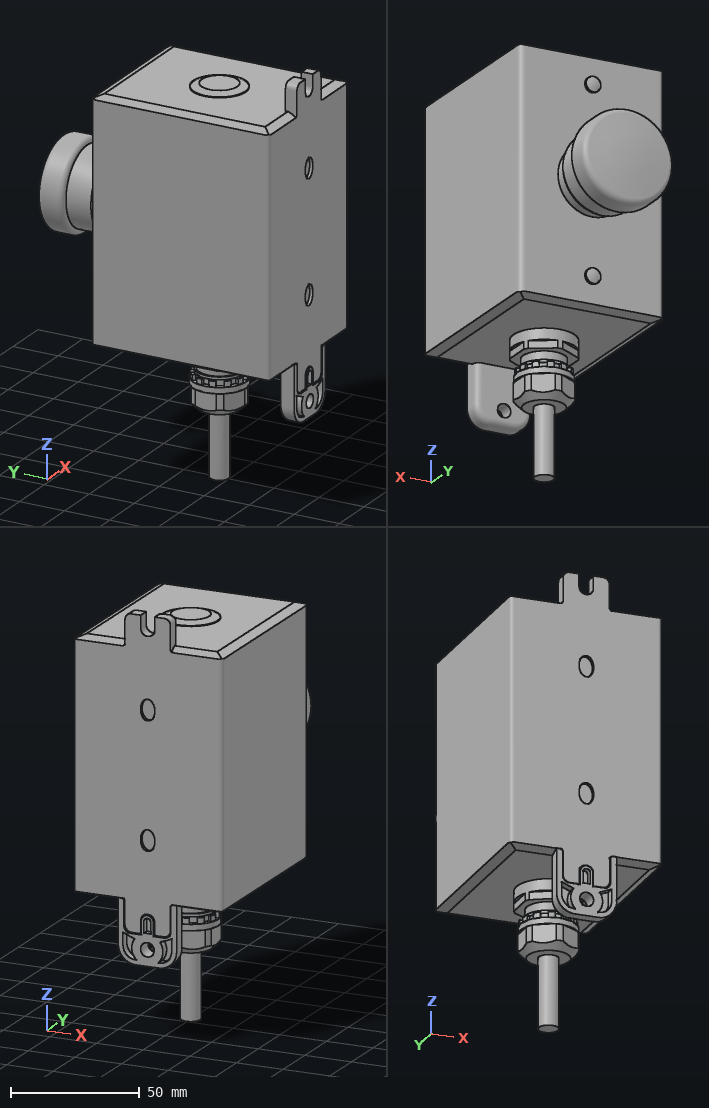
import cadquery as cq
import math


box_width = 64.0
box_depth = 79.5
box_height = 106.0
bevel_inset = 4.0
bevel_drop = 1.5
front_edge_radius = 2.0
rear_edge_radius = 2.6
mid_y = box_depth / 2
mid_z = box_height / 2

tab_width = 19.5
tab_length = 12.0
tab_thickness = 5.1
tab_corner_radius = 2.6
tab_root_radius = 1.2
tab_slot_width = 6.0
tab_slot_depth = 8.2
pocket_width = 6.1
pocket_length = 8.8
pocket_depth = 1.4
pocket_spacing = 53.2

bracket_width = 25.1
bracket_bottom = -25.0
bracket_front = -0.4
bracket_thickness = 7.2
bracket_corner_radius = 7.5
bracket_rear_fillet = 2.8
tab_clearance = 0.4
bracket_hole_diameter = 5.8
bracket_hole_z = -18.0
tongue_groove_width = 3.0
tongue_groove_top = -5.3
tongue_groove_bottom = -11.4
tongue_groove_depth = 2.6
relief_rim = 2.1
relief_boss_radius = 6.7
relief_top_outer = -12.3
relief_top_inner = -14.4
relief_inner_x = 5.3
relief_depth = 3.5

cap_diameter = 23.2
cap_top_diameter = 15.8
cap_rim_height = 0.4
cap_height = 1.5

screw_diameter = 6.5
screw_rim_height = 1.0
screw_height = 1.8
screw_spacing = 79.8

stem_radius = 15.1
collar_radius = 17.2
collar_start = 86.7
collar_chamfer = 0.7
head_radius = 20.0
head_start = 98.5
head_lower_round = 2.1
head_edge_y = 107.0
head_shoulder_radius = 17.2
head_shoulder_y = 110.0
head_top_y = 111.6

base_diameter = 26.8
base_bottom = -4.7
base_hex_flats = 24.2
base_hex_bottom = -7.9
neck_diameter = 18.3
neck_bottom = -11.8
flare_diameter = 19.8
flare_bottom = -13.0
crown_diameter = 23.0
crown_bottom = -15.5
crown_notches = 12
crown_notch_width = 3.2
crown_notch_depth = 1.8
ring_diameter = 23.7
ring_bottom = -18.0
nut_diameter = 24.0
nut_flats = 22.1
nut_cone_top = -25.0
nut_bottom = -28.0
nut_end_diameter = 17.4
cable_diameter = 8.2
cable_bottom = -57.5

OVERLAP = 0.9


def beveled_outline(plane, start, end):
    """Rectangle from start to end, box_height tall, with flat bevels at both ends."""
    return (
        cq.Workplane(plane)
        .moveTo(start + bevel_inset, 0)
        .lineTo(end - bevel_inset, 0)
        .lineTo(end, bevel_drop)
        .lineTo(end, box_height - bevel_drop)
        .lineTo(end - bevel_inset, box_height)
        .lineTo(start + bevel_inset, box_height)
        .lineTo(start, box_height - bevel_drop)
        .lineTo(start, bevel_drop)
        .close()
    )


def make_box():
    plan = (
        cq.Workplane("XY")
        .rect(box_width, box_depth)
        .extrude(box_height)
        .translate((0, mid_y, 0))
        .edges("|Z and <Y").fillet(front_edge_radius)
        .edges("|Z and >Y").fillet(rear_edge_radius)
    )
    across = beveled_outline("XZ", -box_width / 2, box_width / 2).extrude(-box_depth)
    along = beveled_outline("YZ", 0, box_depth).extrude(box_width / 2, both=True)
    return plan.intersect(across).intersect(along)


def upper_tab(grow=0.0):
    """Slotted tab on the upper end; a positive grow swells its outline."""
    half_width = tab_width / 2 + grow
    tip = box_height + tab_length + grow
    slot_width = tab_slot_width - 2 * grow
    root_radius = tab_root_radius - grow
    slot_center = box_height + tab_length - tab_slot_depth + tab_slot_width / 2
    root = box_height - bevel_drop
    body = (
        cq.Workplane("XZ")
        .moveTo(-half_width - root_radius, root)
        .lineTo(half_width + root_radius, root)
        .radiusArc((half_width, root + root_radius), root_radius)
        .lineTo(half_width, tip)
        .lineTo(-half_width, tip)
        .lineTo(-half_width, root + root_radius)
        .radiusArc((-half_width - root_radius, root), root_radius)
        .close()
        .extrude(-tab_thickness)
        .edges("|Y and >Z").fillet(tab_corner_radius + grow)
    )
    slot_round = (
        cq.Workplane("XZ").center(0, slot_center).circle(slot_width / 2).extrude(-tab_thickness)
    )
    slot_run = (
        cq.Workplane("XZ")
        .center(0, (slot_center + tip) / 2)
        .rect(slot_width, tip - slot_center)
        .extrude(-tab_thickness)
    )
    return body.cut(slot_round).cut(slot_run)


def to_lower_end(shape):
    """Mirror a shape from the upper end of the box to the lower end."""
    return shape.mirror("XY", (0, 0, mid_z))


def mounting_pockets():
    """Two shallow oval recesses in the mounting face."""
    return (
        cq.Workplane("XZ")
        .pushPoints([(0, mid_z - pocket_spacing / 2), (0, mid_z + pocket_spacing / 2)])
        .ellipse(pocket_width / 2, pocket_length / 2)
        .extrude(-pocket_depth)
    )


def bracket_blank(inset, thickness):
    """Plate with two round lower corners, its outline drawn in by inset."""
    height = bevel_drop - bracket_bottom - inset
    return (
        cq.Workplane("XZ", origin=(0, bracket_front, 0))
        .center(0, bevel_drop - height / 2)
        .rect(bracket_width - 2 * inset, height)
        .extrude(-thickness)
        .edges("|Y and <Z").fillet(bracket_corner_radius - inset)
    )


def bracket_reliefs():
    """Blind crescents between the bracket rim and the round boss about its hole."""
    half_width = bracket_width / 2
    below_top_edge = (
        cq.Workplane("XZ", origin=(0, bracket_front, 0))
        .moveTo(0, bracket_bottom)
        .lineTo(half_width, bracket_bottom)
        .lineTo(half_width, relief_top_outer)
        .lineTo(half_width - relief_rim, relief_top_outer)
        .lineTo(relief_inner_x, relief_top_inner)
        .lineTo(0, relief_top_inner)
        .close()
        .extrude(-relief_depth)
    )
    boss = (
        cq.Workplane("XZ", origin=(0, bracket_front, 0))
        .center(0, bracket_hole_z)
        .circle(relief_boss_radius)
        .extrude(-relief_depth)
    )
    one_side = bracket_blank(relief_rim, relief_depth).intersect(below_top_edge).cut(boss)
    return one_side.union(one_side.mirror("YZ"))


def make_bracket():
    plate = bracket_blank(0, bracket_thickness)
    plate = plate.faces(">Y").edges("not >Z").fillet(bracket_rear_fillet)
    tab_space = to_lower_end(upper_tab(tab_clearance))
    tab_space = tab_space.union(tab_space.translate((0, bracket_front, 0)))
    hole = (
        cq.Workplane("XZ", origin=(0, bracket_front, 0))
        .center(0, bracket_hole_z)
        .circle(bracket_hole_diameter / 2)
        .extrude(-bracket_thickness)
    )
    groove_round_z = tongue_groove_top - tongue_groove_width / 2
    groove = (
        cq.Workplane("XZ", origin=(0, bracket_front, 0))
        .moveTo(-tongue_groove_width / 2, tongue_groove_bottom)
        .lineTo(tongue_groove_width / 2, tongue_groove_bottom)
        .lineTo(tongue_groove_width / 2, groove_round_z)
        .threePointArc((0, tongue_groove_top), (-tongue_groove_width / 2, groove_round_z))
        .close()
        .extrude(-tongue_groove_depth)
    )
    return plate.cut(tab_space).cut(hole).cut(groove).cut(bracket_reliefs())


def make_cap():
    rim_radius = cap_diameter / 2
    return (
        cq.Workplane("XZ")
        .moveTo(0, -OVERLAP)
        .lineTo(rim_radius, -OVERLAP)
        .lineTo(rim_radius, cap_rim_height)
        .lineTo(cap_top_diameter / 2, cap_height)
        .lineTo(0, cap_height)
        .close()
        .revolve(360, (0, 0, 0), (0, 1, 0))
        .translate((0, mid_y, box_height))
    )


def make_screw(z):
    """Domed screw head standing on the rear face."""
    radius = screw_diameter / 2
    rise = screw_height - screw_rim_height
    dome_radius = (radius ** 2 + rise ** 2) / (2 * rise)
    half_angle = math.asin(radius / dome_radius) / 2
    dome_middle = (
        dome_radius * math.sin(half_angle),
        screw_height - dome_radius * (1 - math.cos(half_angle)),
    )
    return (
        cq.Workplane("XY")
        .moveTo(0, -OVERLAP)
        .lineTo(radius, -OVERLAP)
        .lineTo(radius, screw_rim_height)
        .threePointArc(dome_middle, (0, screw_height))
        .close()
        .revolve(360, (0, 0, 0), (0, 1, 0))
        .translate((0, box_depth, z))
    )


def make_button():
    """Stem, collar and domed head, turned about the Y axis."""
    dome_rise = head_top_y - head_shoulder_y
    dome_radius = (head_shoulder_radius ** 2 + dome_rise ** 2) / (2 * dome_rise)
    return (
        cq.Workplane("XY")
        .moveTo(0, box_depth - OVERLAP)
        .lineTo(stem_radius, box_depth - OVERLAP)
        .lineTo(stem_radius, collar_start)
        .lineTo(collar_radius - collar_chamfer, collar_start)
        .lineTo(collar_radius, collar_start + collar_chamfer)
        .lineTo(collar_radius, head_start)
        .lineTo(head_radius - head_lower_round, head_start)
        .radiusArc((head_radius, head_start + head_lower_round), -head_lower_round)
        .lineTo(head_radius, head_edge_y)
        .radiusArc((head_shoulder_radius, head_shoulder_y), -(head_radius - head_shoulder_radius))
        .radiusArc((0, head_top_y), -dome_radius)
        .close()
        .revolve(360, (0, 0, 0), (0, 1, 0))
        .translate((0, 0, mid_z))
    )


def gland_disc(diameter, top, bottom):
    return (
        cq.Workplane("XY", origin=(0, mid_y, bottom)).circle(diameter / 2).extrude(top - bottom)
    )


def gland_hex(flats, top, bottom):
    """Hexagonal prism with flats facing -X and +X."""
    return (
        cq.Workplane("XY", origin=(0, mid_y, bottom))
        .transformed(rotate=(0, 0, 30))
        .polygon(6, flats / math.cos(math.pi / 6))
        .extrude(top - bottom)
    )


def make_crown():
    """Ring of clamping teeth parted by notches in its rim."""
    crown = gland_disc(crown_diameter, flare_bottom, crown_bottom)
    height = flare_bottom - crown_bottom
    notches = (
        cq.Workplane("XY", origin=(0, mid_y, crown_bottom))
        .polarArray(crown_diameter / 2, 0, 360, crown_notches)
        .rect(2 * crown_notch_depth, crown_notch_width)
        .extrude(height)
    )
    return crown.cut(notches)


def make_nut():
    """Hexagonal cap nut with rounded corners and a conical end."""
    blank = gland_disc(nut_diameter, ring_bottom, nut_bottom)
    cone_height = nut_cone_top - nut_bottom
    cone_run = (nut_diameter - nut_end_diameter) / 2
    blank = blank.faces("<Z").chamfer(cone_height, cone_run)
    return blank.intersect(gland_hex(nut_flats, ring_bottom, nut_bottom))


def make_gland():
    base_hex = gland_hex(base_hex_flats, base_bottom, base_hex_bottom)
    base_hex = base_hex.intersect(gland_disc(base_diameter, base_bottom, base_hex_bottom))
    return (
        gland_disc(base_diameter, OVERLAP, base_bottom)
        .union(base_hex)
        .union(gland_disc(neck_diameter, base_hex_bottom, neck_bottom))
        .union(gland_disc(flare_diameter, neck_bottom, flare_bottom))
        .union(make_crown())
        .union(gland_disc(ring_diameter, crown_bottom, ring_bottom))
        .union(make_nut())
        .union(gland_disc(cable_diameter, nut_bottom, cable_bottom))
    )


result = make_box().union(upper_tab()).cut(mounting_pockets())
result = result.union(make_bracket())
result = result.union(to_lower_end(upper_tab()))
result = result.union(make_cap())
for side in (-1, 1):
    result = result.union(make_screw(mid_z + side * screw_spacing / 2))
result = result.union(make_button())
result = result.union(make_gland())